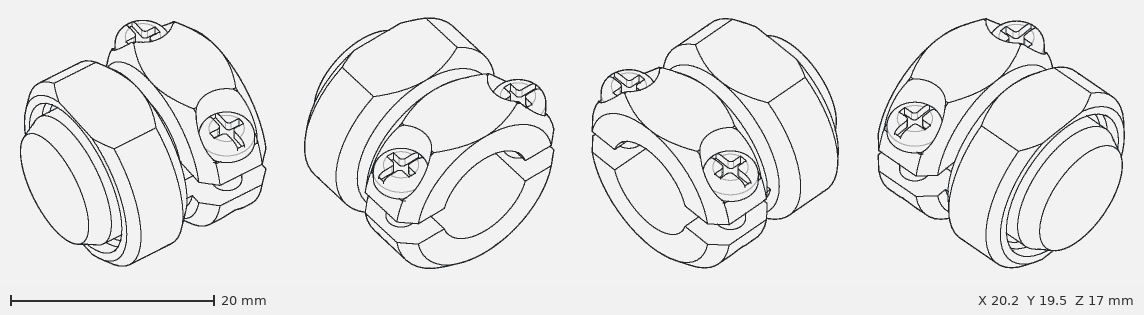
import cadquery as cq

nut_length = 7.5
neck_length = 1.5
clamp_length = 8.0
plug_protrusion = 2.5

body_radius = 10.0
flat_height = 8.5
rear_chamfer = 1.5
front_chamfer = 1.0

neck_radius = 7.4
split_half_height = 1.5
bore_radius = 5.31

recess_mouth_radius = 8.12
recess_inner_radius = 7.68
recess_step_start = 1.5
recess_step_end = 2.0
recess_depth = 5.0
plug_radius = 7.0
plug_tip_radius = 6.0
plug_taper_length = 2.02

overall_half_width = 10.1
head_radius = 2.75
head_height = 2.0
head_fillet = 1.0
head_seat_z = 4.0
counterbore_radius = 3.0
shank_radius = 1.5
shank_length = 8.0

slot_width = 0.8
long_slot_length = 5.05
short_slot_length = 2 * (head_radius - head_fillet)
drive_depth = 1.0
cross_corner_radius = 0.4

cutter_size = 80.8

nut_rear_y = nut_length
clamp_front_y = nut_rear_y + neck_length
clamp_rear_y = clamp_front_y + clamp_length
clamp_middle_y = (clamp_front_y + clamp_rear_y) / 2
screw_offset_x = overall_half_width - head_radius
head_top_z = head_seat_z + head_height


def disc(radius, start_y, length):
    """Cylinder about the Y axis, running from start_y toward +Y."""
    return cq.Workplane("XZ", origin=(0, start_y, 0)).circle(radius).extrude(-length)


def cone(start_radius, end_radius, start_y, end_y):
    """Truncated cone about the Y axis."""
    profile = [(0, start_y), (start_radius, start_y), (end_radius, end_y), (0, end_y)]
    return cq.Workplane("XY").polyline(profile).close().revolve(360, (0, 0, 0), (0, 1, 0))


def flatted_body(start_y, length, near_chamfer, far_chamfer):
    """Chamfered round body with flats at the top and bottom."""
    body = disc(body_radius, start_y, length)
    body = body.faces("<Y").chamfer(near_chamfer)
    body = body.faces(">Y").chamfer(far_chamfer)
    flats = cq.Workplane("XY").box(cutter_size, cutter_size, 2 * flat_height)
    return body.intersect(flats)


def make_nut():
    """Nut with a stepped recess in its front face and the plug standing out of it."""
    nut = flatted_body(0, nut_length, front_chamfer, rear_chamfer)
    nut = nut.cut(disc(recess_mouth_radius, 0, recess_step_start))
    nut = nut.cut(cone(recess_mouth_radius, recess_inner_radius, recess_step_start, recess_step_end))
    nut = nut.cut(disc(recess_inner_radius, 0, recess_depth))
    taper_end_y = plug_taper_length - plug_protrusion
    taper = cone(plug_tip_radius, plug_radius, -plug_protrusion, taper_end_y)
    plug = disc(plug_radius, taper_end_y, recess_depth - taper_end_y)
    return nut.union(plug.union(taper))


def make_clamp():
    """Two clamp jaws; only the lower one is joined to the nut by the neck."""
    clamp = flatted_body(clamp_front_y, clamp_length, rear_chamfer, rear_chamfer)
    clamp = clamp.cut(disc(bore_radius, clamp_front_y, clamp_length))
    split = cq.Workplane("XY", origin=(0, clamp_middle_y, 0)).box(
        cutter_size, clamp_length, 2 * split_half_height
    )
    return clamp.cut(split)


def make_neck():
    """Lower part of the bored neck between the nut and the clamp."""
    neck = disc(neck_radius, nut_rear_y, neck_length)
    neck = neck.cut(disc(bore_radius, nut_rear_y, neck_length))
    above_split = cq.Workplane("XY", origin=(0, nut_rear_y, -split_half_height)).box(
        cutter_size, cutter_size, cutter_size, centered=(True, True, False)
    )
    return neck.cut(above_split)


def screw_plane(side, z):
    """Horizontal plane centred on the screw axis."""
    return cq.Workplane("XY", origin=(side * screw_offset_x, clamp_middle_y, z))


def make_screw_clearance(side):
    """Through hole and counterbore for one screw."""
    hole = screw_plane(side, -flat_height).circle(shank_radius).extrude(2 * flat_height)
    counterbore = screw_plane(side, head_seat_z).circle(counterbore_radius).extrude(flat_height)
    return hole.union(counterbore)


def make_screw(side):
    """Pan-head screw with a straight slot crossed by a shorter one."""
    head = screw_plane(side, head_seat_z).circle(head_radius).extrude(head_height)
    head = head.faces(">Z").edges().fillet(head_fillet)

    cross = screw_plane(side, head_top_z).rect(long_slot_length, slot_width).extrude(-drive_depth)
    cross = cross.union(
        screw_plane(side, head_top_z).rect(slot_width, short_slot_length).extrude(-drive_depth)
    )
    screw_x = side * screw_offset_x
    corner_zone = cq.selectors.BoxSelector(
        (screw_x - slot_width, clamp_middle_y - slot_width, head_seat_z),
        (screw_x + slot_width, clamp_middle_y + slot_width, head_top_z),
    )
    cross = cross.edges("|Z").edges(corner_zone).fillet(cross_corner_radius)

    shank = screw_plane(side, head_seat_z).circle(shank_radius).extrude(-shank_length)
    return head.cut(cross).union(shank)


clamp = make_clamp()
for side in (-1, 1):
    clamp = clamp.cut(make_screw_clearance(side)).union(make_screw(side))

result = make_nut().union(make_neck()).union(clamp)